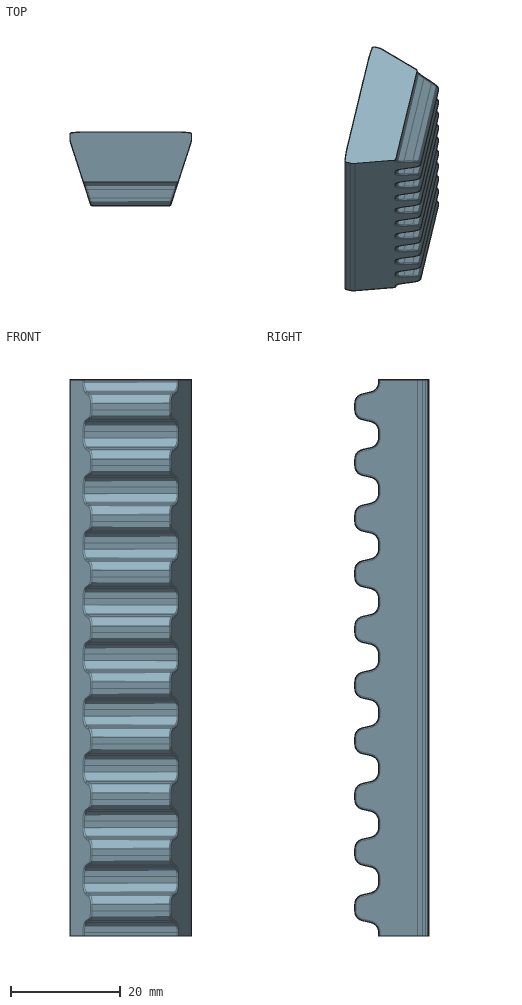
import cadquery as cq
import math

length = 101.6
back_width = 22.3
thickness = 13.5
side_angle = 18.0
shoulder_height = 1.6
shoulder_radius = 2.9
crown_width = 2.9
crown_drop = 0.2
corner_radius = 0.4

tooth_count = 10
pitch = 10.2
first_tooth_drop = 5.0
tooth_depth = 4.4
tooth_angle = 13.0
tooth_radius = 1.8
edge_radius = 0.3

half_back = back_width / 2
back_y = thickness / 2
tip_y = -thickness / 2
root_y = tip_y + tooth_depth
top_z = length / 2


def belt_body():
    """Belt without grooves, tapering from the back to the tooth tips."""
    taper = (thickness - shoulder_height) * math.tan(math.radians(side_angle))
    half_tip = half_back - taper
    half_flat = half_back - crown_width
    corner_y = back_y - crown_drop
    shoulder_y = back_y - shoulder_height
    crown_radius = (crown_width**2 + crown_drop**2) / (2 * crown_drop)
    outline = (
        cq.Workplane("XY")
        .workplane(offset=-top_z)
        .moveTo(-half_flat, back_y)
        .lineTo(half_flat, back_y)
        .radiusArc((half_back, corner_y), crown_radius)
        .lineTo(half_back, shoulder_y)
        .lineTo(half_tip, tip_y)
        .lineTo(-half_tip, tip_y)
        .lineTo(-half_back, shoulder_y)
        .lineTo(-half_back, corner_y)
        .radiusArc((-half_flat, back_y), crown_radius)
        .close()
    )
    body = outline.extrude(length)
    body = body.edges("|Z").edges(">>Y[-3]").fillet(shoulder_radius)
    return body.edges("|Z").edges(">>Y[-2]").fillet(corner_radius)


def tooth_groove(middle_z):
    """Cutter for one groove: rounded roots, leaning flanks and rounds onto the neighbouring tips."""
    lean = math.radians(tooth_angle)
    flank_shift = tooth_depth / 2 * math.tan(lean)
    mid_turn = (math.pi / 2 - lean) / 2
    tangent = tooth_radius * math.tan(mid_turn)

    root_flat = pitch / 4 - flank_shift - tangent
    tip_flat = pitch / 4 + flank_shift + tangent
    turn_y = tooth_radius * (1 - math.cos(mid_turn))
    turn_z = tooth_radius * math.sin(mid_turn)
    end_y = tooth_radius * (1 - math.sin(lean))
    end_z = tooth_radius * math.cos(lean)
    half_outline = [
        (root_y, root_flat),
        (root_y - turn_y, root_flat + turn_z),
        (root_y - end_y, root_flat + end_z),
        (tip_y + end_y, tip_flat - end_z),
        (tip_y + turn_y, tip_flat - turn_z),
        (tip_y, tip_flat),
    ]
    upper = [(y, middle_z + z) for y, z in half_outline]
    lower = [(y, middle_z - z) for y, z in reversed(half_outline)]

    profile = (
        cq.Workplane("YZ")
        .moveTo(*lower[0])
        .threePointArc(lower[1], lower[2])
        .lineTo(*lower[3])
        .threePointArc(lower[4], lower[5])
        .lineTo(*upper[0])
        .threePointArc(upper[1], upper[2])
        .lineTo(*upper[3])
        .threePointArc(upper[4], upper[5])
        .close()
    )
    return profile.extrude(half_back, both=True)


def round_tooth_ends(belt):
    """Round the edges where the toothed face meets the two tapered sides."""
    for side in (-1, 1):
        toothed_edges = cq.selectors.BoxSelector(
            (side * half_back / 2, tip_y - edge_radius, -top_z),
            (side * half_back, root_y + edge_radius, top_z),
        )
        belt = belt.edges(toothed_edges).fillet(edge_radius)
    return belt


belt = belt_body()
for groove in range(tooth_count + 1):
    groove_z = top_z - first_tooth_drop + pitch / 2 - groove * pitch
    belt = belt.cut(tooth_groove(groove_z))
result = round_tooth_ends(belt)